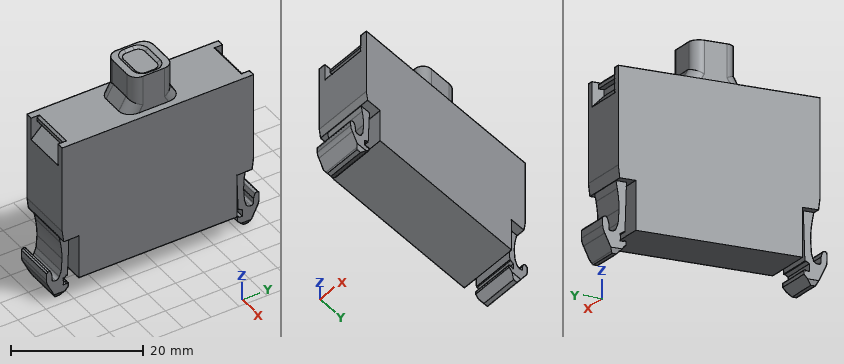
import cadquery as cq
import math


housing_width = 10.0
housing_half_length = 17.1
housing_top = 25.85
foot_half_length = 14.15
shoulder_z = 7.95
taper_start_z = 9.95
taper_inset = 0.25

notch_width = 7.6
notch_depth = 2.1
notch_floor_z = 21.77
lip_inset = 1.1
lip_chamfer = 0.38
lip_thickness = 1.0

button_width = 7.6
button_length = 7.35
button_top = 32.5
button_corner = 1.75
flare_half_length = 4.98
flare_corner = 2.0
flare_angle = 30.0
flare_height = 3.05

dish_width = 6.85
dish_length = 4.98
dish_corner = 1.75
dish_depth = 0.35
dish_wall_angle = 60.0

hook_width = 7.1
hook_reach = 19.0
hook_bottom = -3.57
tip_bevel_height = 0.8
tip_bevel_inset = 0.4
tip_inner_y = 16.45
tip_outer_y = 17.2
tip_chamfer_y = 0.15
tip_chamfer_z = 0.25

arm_inner_top_y = 14.97
arm_inner_bottom_y = 15.25
arm_root_y = 16.75
arm_curve_top_y = 16.53
arm_curve_top_z = 6.73
arm_waist_y = 16.23
arm_waist_z = 3.5
arm_curve_bulge = 0.08

gullet_top_y = 16.38
gullet_top_z = 1.25
gullet_bend_y = 16.72
gullet_bend_z = 0.35
gullet_floor_start_y = 17.35
gullet_floor_end_y = 17.6
gullet_floor_z = -0.15
gullet_arc_mid = (16.95, 0.0)

prong_inner_y = 17.97
prong_root_z = 0.23
prong_root_arc_mid = (17.85, -0.05)
prong_taper_z = 1.03
prong_crown_inner_y = 18.25
prong_crown_inner_z = 1.82
prong_top = 2.0
prong_crown_y = 18.45
prong_chamfer = 0.25
prong_heel_top_z = 0.6
prong_heel_bottom_y = 18.65
prong_heel_bottom_z = -0.7
prong_heel_arc_mid = (18.92, -0.05)

catch_y = 15.1
catch_top_z = -1.5
catch_bottom_z = -2.13
catch_ledge_z = -1.52
catch_peak_y = 15.28
catch_peak_z = -1.35
catch_groove_y = 16.0
catch_groove_top_z = -0.35
catch_lead_y = 15.43


def centred_prism(profile, width):
    """Extrude a profile drawn in the YZ plane symmetrically about X = 0."""
    return profile.close().extrude(width / 2, both=True)


def both_ends(shape):
    """Return the shape joined with its mirror image at the opposite end."""
    return shape.union(shape.mirror("XZ"))


def make_housing():
    shoulder_y = housing_half_length - taper_inset
    half_outline = [
        (0, 0),
        (foot_half_length, 0),
        (foot_half_length, shoulder_z),
        (shoulder_y, shoulder_z),
        (housing_half_length, taper_start_z),
        (housing_half_length, housing_top),
        (0, housing_top),
    ]
    return both_ends(centred_prism(cq.Workplane("YZ").polyline(half_outline), housing_width))


def make_label_notches():
    """Undercut notches with a sloping floor below a chamfered lip."""
    back_y = housing_half_length - notch_depth
    lip_y = housing_half_length - lip_inset
    lip_under_z = housing_top - lip_thickness
    outline = [
        (housing_half_length, notch_floor_z),
        (back_y, notch_floor_z + notch_depth),
        (back_y, lip_under_z),
        (lip_y, lip_under_z),
        (lip_y, housing_top - lip_chamfer),
        (lip_y - lip_chamfer, housing_top),
        (housing_half_length, housing_top),
    ]
    return both_ends(centred_prism(cq.Workplane("YZ").polyline(outline), notch_width))


def make_button():
    """Rounded push button on a base that flares towards both ends."""
    stem = (
        cq.Workplane("XY", origin=(0, 0, housing_top))
        .rect(button_width, button_length)
        .extrude(button_top - housing_top)
        .edges("|Z")
        .fillet(button_corner)
    )
    flare_run = flare_height * math.tan(math.radians(flare_angle))
    flare_top_half = flare_half_length - flare_run
    flare_top_z = housing_top + flare_height
    flare_outline = [
        (-flare_half_length, housing_top),
        (flare_half_length, housing_top),
        (flare_top_half, flare_top_z),
        (-flare_top_half, flare_top_z),
    ]
    flare = centred_prism(cq.Workplane("YZ").polyline(flare_outline), button_width)
    flare = flare.edges("not(|X or |Y)").fillet(flare_corner)
    dish_outline = cq.Sketch().rect(dish_width, dish_length).vertices().fillet(dish_corner)
    dish = (
        cq.Workplane("XY", origin=(0, 0, button_top))
        .placeSketch(dish_outline)
        .extrude(-dish_depth, taper=dish_wall_angle)
    )
    return stem.union(flare).cut(dish)


def make_hook():
    """Spring arm with an outer finger prong, an inner catch and a narrowed tip."""
    arm_curve_mid = (
        (arm_curve_top_y + arm_waist_y) / 2 - arm_curve_bulge,
        (arm_curve_top_z + arm_waist_z) / 2,
    )
    crown_outer_y = hook_reach - prong_chamfer
    profile = (
        cq.Workplane("YZ")
        .moveTo(arm_inner_top_y, shoulder_z)
        .lineTo(arm_root_y, shoulder_z)
        .lineTo(arm_curve_top_y, arm_curve_top_z)
        .threePointArc(arm_curve_mid, (arm_waist_y, arm_waist_z))
        .lineTo(gullet_top_y, gullet_top_z)
        .lineTo(gullet_bend_y, gullet_bend_z)
        .threePointArc(gullet_arc_mid, (gullet_floor_start_y, gullet_floor_z))
        .lineTo(gullet_floor_end_y, gullet_floor_z)
        .threePointArc(prong_root_arc_mid, (prong_inner_y, prong_root_z))
        .lineTo(prong_inner_y, prong_taper_z)
        .lineTo(prong_crown_inner_y, prong_crown_inner_z)
        .threePointArc((prong_crown_y, prong_top), (crown_outer_y, prong_top))
        .lineTo(hook_reach, prong_top - prong_chamfer)
        .lineTo(hook_reach, prong_heel_top_z)
        .threePointArc(prong_heel_arc_mid, (prong_heel_bottom_y, prong_heel_bottom_z))
        .lineTo(tip_outer_y + tip_chamfer_y, hook_bottom + tip_chamfer_z)
        .lineTo(tip_outer_y, hook_bottom)
        .lineTo(tip_inner_y, hook_bottom)
        .lineTo(catch_y, catch_bottom_z)
        .lineTo(catch_y, catch_top_z)
        .lineTo(catch_peak_y, catch_peak_z)
        .lineTo(catch_lead_y, catch_ledge_z)
        .lineTo(catch_groove_y, catch_ledge_z)
        .lineTo(catch_groove_y, catch_groove_top_z)
        .lineTo(catch_lead_y, 0)
        .lineTo(arm_inner_bottom_y, 0)
    )
    hook = centred_prism(profile, hook_width)
    half_width = hook_width / 2
    envelope = (
        cq.Workplane("XZ")
        .polyline([
            (-half_width, shoulder_z),
            (half_width, shoulder_z),
            (half_width, hook_bottom + tip_bevel_height),
            (half_width - tip_bevel_inset, hook_bottom),
            (-half_width + tip_bevel_inset, hook_bottom),
            (-half_width, hook_bottom + tip_bevel_height),
        ])
        .close()
        .extrude(-hook_reach)
    )
    return hook.intersect(envelope)


result = (
    make_housing()
    .cut(make_label_notches())
    .union(make_button())
    .union(both_ends(make_hook()))
)